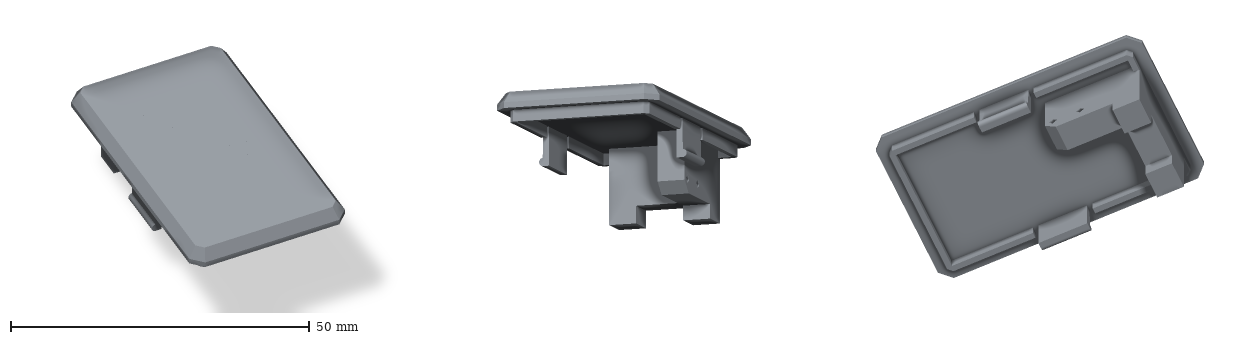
import cadquery as cq
import math

cap_length = 49.0
cap_width = 29.0
cap_thickness = 3.0
corner_cut = 2.0
bevel_height = 2.0
bevel_inset = 1.4

rim_inset = 2.1
rim_height = 2.0
rim_wall = 1.0
rim_length = cap_length - 2 * rim_inset
rim_width = cap_width - 2 * rim_inset

clip_center_x = 1.0
clip_length = 9.0
clip_gap = 1.0
clip_flare = 0.13
bead_radius = 0.7
bead_center_y = 12.45
bead_center_z = -5.95

foot_end_x = -17.5
foot_width = 18.0
foot_bottom_z = -13.0
notch_width = 8.35
notch_height = 3.0
foot_start_x = -rim_length / 2
foot_length = foot_end_x - foot_start_x
leg_width = (foot_width - notch_width) / 2
side_plate_end_x = -5.0
side_plate_bottom_z = -10.5
side_plate_cut = 2.0

hole_diagonal = 1.5
hole_x_places = (-11.47, -6.47)
hole_z = -8.05

inlay_depth = 1.0
large_height = 7.88
large_left_x = -18.8
large_base_y = 0.4
small_height = 5.03
small_left_x = -13.45
small_base_y = -7.48

grid_rows = 8
stem = 2.25
arm = 2.0
slot = 1.0
letter_gap = 0.48


def cut_corner_outline(inset):
    """Outline of the cap with its cut corners, moved inward by inset."""
    half_x = cap_length / 2 - inset
    half_y = cap_width / 2 - inset
    cut = corner_cut - inset * (2 - math.sqrt(2))
    return [
        (-half_x + cut, -half_y),
        (half_x - cut, -half_y),
        (half_x, -half_y + cut),
        (half_x, half_y - cut),
        (half_x - cut, half_y),
        (-half_x + cut, half_y),
        (-half_x, half_y - cut),
        (-half_x, -half_y + cut),
    ]


def make_plate():
    edge_height = cap_thickness - bevel_height
    edge_band = cq.Workplane("XY").polyline(cut_corner_outline(0)).close().extrude(edge_height)
    bevel = (
        cq.Workplane("XY", origin=(0, 0, edge_height))
        .polyline(cut_corner_outline(0)).close()
        .workplane(offset=bevel_height)
        .polyline(cut_corner_outline(bevel_inset)).close()
        .loft(ruled=True, combine=True)
    )
    return edge_band.union(bevel)


def make_rim():
    """Thin wall under the plate, opened on both long sides for the clips."""
    outer = cq.Workplane("XY").polyline(cut_corner_outline(rim_inset)).close().extrude(-rim_height)
    inner = cq.Workplane("XY").rect(rim_length - 2 * rim_wall, rim_width - 2 * rim_wall).extrude(-rim_height)
    opening = (
        cq.Workplane("XY")
        .center(clip_center_x, 0)
        .rect(clip_length + 2 * clip_gap, cap_width)
        .extrude(-rim_height)
    )
    return outer.cut(inner).cut(opening)


def make_clip():
    """Clip on the +Y side: a finger flaring outward, with a round bead at its tip."""
    outer_y = rim_width / 2
    inner_y = outer_y - rim_wall
    tip_z = bead_center_z - bead_radius
    start_x = clip_center_x - clip_length / 2
    finger = (
        cq.Workplane("YZ", origin=(start_x, 0, 0))
        .polyline([
            (inner_y, 0),
            (outer_y, 0),
            (outer_y, -rim_height),
            (outer_y + clip_flare, bead_center_z),
            (bead_center_y, tip_z),
            (inner_y, tip_z),
        ])
        .close()
        .extrude(clip_length)
    )
    bead = (
        cq.Workplane("YZ", origin=(start_x, 0, 0))
        .center(bead_center_y, bead_center_z)
        .circle(bead_radius)
        .extrude(clip_length)
    )
    return finger.union(bead)


def make_foot():
    """Block with a notch through its bottom along X, leaving two legs."""
    block = cq.Workplane("XY").box(foot_length, foot_width, -foot_bottom_z, centered=(False, True, False))
    notch = cq.Workplane("XY").box(foot_length, notch_width, notch_height, centered=(False, True, False))
    return block.cut(notch).translate((foot_start_x, 0, foot_bottom_z))


def make_side_plate():
    """Plate running on from the +Y leg, with one cut corner and two square holes."""
    outer_face = cq.Workplane("XZ", origin=(0, foot_width / 2, 0))
    plate = (
        outer_face
        .polyline([
            (foot_end_x, 0),
            (side_plate_end_x, 0),
            (side_plate_end_x, side_plate_bottom_z + side_plate_cut),
            (side_plate_end_x - side_plate_cut, side_plate_bottom_z),
            (foot_end_x, side_plate_bottom_z),
        ])
        .close()
        .extrude(leg_width)
    )
    holes = (
        outer_face
        .pushPoints([(x, hole_z) for x in hole_x_places])
        .polygon(4, hole_diagonal)
        .extrude(leg_width)
    )
    return plate.cut(holes)


top = grid_rows
upper_arm = top - arm
second_arm = upper_arm - slot
middle = second_arm - arm

d_width = 10.08
i_width = stem
f_width = 10.08
c_width = 9.77
h_width = 10.0
e_width = 10.06
k_width = 9.5

d_outline = [
    (0, 0), (d_width - arm, 0), (d_width, arm), (d_width, upper_arm), (d_width - arm, top), (0, top),
]
d_counter = [
    (stem, arm), (d_width - stem, arm), (d_width - stem, upper_arm), (stem, upper_arm),
]
i_outline = [(0, 0), (i_width, 0), (i_width, top), (0, top)]
f_outline = [
    (0, 0), (stem, 0), (stem, middle), (f_width - slot - arm, middle), (f_width - slot, second_arm),
    (stem, second_arm), (stem, upper_arm), (f_width - arm, upper_arm), (f_width, top), (0, top),
]
c_outline = [
    (arm, 0), (c_width - arm, 0), (c_width, arm), (stem, arm), (stem, upper_arm),
    (c_width, upper_arm), (c_width - arm, top), (arm, top), (0, upper_arm), (0, arm),
]
h_outline = [
    (0, 0), (stem, 0), (stem, middle), (h_width - stem, middle), (h_width - stem, 0), (h_width, 0),
    (h_width, top), (h_width - stem, top), (h_width - stem, second_arm), (stem, second_arm),
    (stem, top), (0, top),
]
e_outline = [
    (0, 0), (e_width - arm, 0), (e_width, arm), (stem, arm), (stem, middle),
    (e_width - slot - arm, middle), (e_width - slot, second_arm), (stem, second_arm),
    (stem, upper_arm), (e_width - arm, upper_arm), (e_width, top), (0, top),
]
k_fork_x = 7.1
k_fork_y = 4.75
k_shoulder_y = 2.55
k_arm_start_x = 5.1
k_leg_bend_x = 6.3
k_outline = [
    (0, 0), (stem, 0), (stem, middle), (k_leg_bend_x, middle), (k_width - stem, arm),
    (k_width - stem, 0), (k_width, 0), (k_width, k_shoulder_y), (k_fork_x, k_fork_y), (k_width, top),
    (k_width - stem, top), (k_arm_start_x, second_arm), (stem, second_arm), (stem, top), (0, top),
]

large_word = [
    (d_outline, d_counter, d_width),
    (i_outline, None, i_width),
    (f_outline, None, f_width),
    (f_outline, None, f_width),
]
small_word = [
    (c_outline, None, c_width),
    (h_outline, None, h_width),
    (e_outline, None, e_width),
    (c_outline, None, c_width),
    (k_outline, None, k_width),
]


def make_letter(outline, counter, unit, left_x, base_y):
    """One letter inlay; counter is the closed opening inside it, if it has one."""
    floor_z = cap_thickness - inlay_depth

    def solid_from(points):
        placed = [(left_x + unit * x, base_y + unit * y) for x, y in points]
        return cq.Workplane("XY", origin=(0, 0, floor_z)).polyline(placed).close().extrude(inlay_depth)

    letter = solid_from(outline)
    if counter:
        letter = letter.cut(solid_from(counter))
    return letter


def make_word(word, height, left_x, base_y):
    """All letters of a word, each a separate inlay."""
    unit = height / grid_rows
    letters = []
    x = left_x
    for outline, counter, width in word:
        letters.append(make_letter(outline, counter, unit, x, base_y))
        x += unit * (width + letter_gap)
    return letters


letters = make_word(large_word, large_height, large_left_x, large_base_y)
letters += make_word(small_word, small_height, small_left_x, small_base_y)

clip = make_clip()
cap = (
    make_plate()
    .union(make_rim())
    .union(clip)
    .union(clip.mirror("XZ"))
    .union(make_foot())
    .union(make_side_plate())
)
for letter in letters:
    cap = cap.cut(letter)

result = cq.Compound.makeCompound([cap.val()] + [letter.val() for letter in letters])